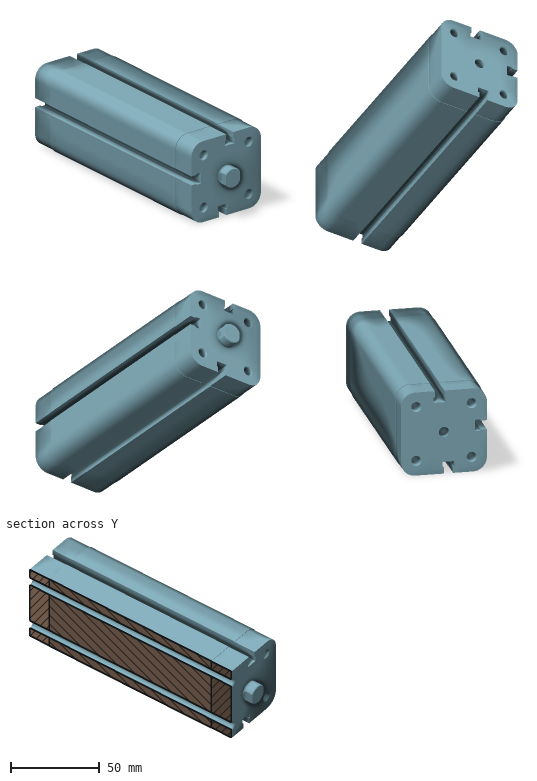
import cadquery as cq

overall_length = 150.5
rear_cap_length = 14.1
front_cap_length = 14.5
rod_projection = 6.3
rear_seam = rear_cap_length
front_face = overall_length - rod_projection
front_seam = front_face - front_cap_length

tube_width = 50.0
cap_width = 49.5
corner_radius = 8.1

slot_offset = 2.5
slot_mouth_width = 5.4
slot_lip_thickness = 3.9
slot_depth = 7.2
tube_channel_width = 6.5
cap_channel_width = 6.8
slot_angles = (0, 90, 180)

fixing_pitch = 32.0
fixing_diameter = 5.0
fixing_mouth_chamfer = 0.53

locating_diameter = 6.0
locating_depth = 4.0

rod_diameter = 12.0
rod_flat_width = 10.1
rod_flat_runout = 1.2
rod_tip_chamfer = 0.5


def section_at(x):
    return cq.Workplane("YZ", origin=(x, 0, 0))


def slots(start, length, channel_width):
    """T-shaped slots in the top, -Y and bottom sides."""
    half_width = tube_width / 2
    floor = half_width - slot_depth
    channel_height = slot_depth - slot_lip_thickness
    mouth = (
        section_at(start)
        .center(slot_offset, floor + slot_depth / 2)
        .rect(slot_mouth_width, slot_depth)
        .extrude(length)
    )
    channel = (
        section_at(start)
        .center(slot_offset, floor + channel_height / 2)
        .rect(channel_width, channel_height)
        .extrude(length)
    )
    slot = mouth.union(channel)
    return [slot.rotate((0, 0, 0), (1, 0, 0), angle) for angle in slot_angles]


def slotted_block(start, length, width, channel_width):
    """Rounded square block with the sensor slots and fixing holes running through it."""
    block = section_at(start).rect(width, width).extrude(length)
    block = block.edges("|X").fillet(corner_radius)
    holes = (
        section_at(start)
        .rect(fixing_pitch, fixing_pitch, forConstruction=True)
        .vertices()
        .circle(fixing_diameter / 2)
        .extrude(length)
    )
    block = block.cut(holes)
    for slot in slots(start, length, channel_width):
        block = block.cut(slot)
    return block


def chamfer_fixing_mouths(cap, face_selector):
    """Chamfer the mouths of the fixing holes in the outer face of a cap."""
    smallest_radius = cq.selectors.RadiusNthSelector(0)
    mouth_edges = cap.faces(face_selector).edges("%CIRCLE").edges(smallest_radius)
    return mouth_edges.chamfer(fixing_mouth_chamfer)


def make_rear_cap():
    cap = slotted_block(0, rear_cap_length, cap_width, cap_channel_width)
    cap = chamfer_fixing_mouths(cap, "<X")
    bore = section_at(0).circle(locating_diameter / 2).extrude(locating_depth)
    return cap.cut(bore)


def make_front_cap():
    cap = slotted_block(front_seam, front_cap_length, cap_width, cap_channel_width)
    return chamfer_fixing_mouths(cap, ">X")


def make_tube():
    return slotted_block(rear_seam, front_seam - rear_seam, tube_width, tube_channel_width)


def make_rod_end():
    rod = section_at(front_face).circle(rod_diameter / 2).extrude(rod_projection)
    rod = rod.faces(">X").edges().chamfer(rod_tip_chamfer)
    radius = rod_diameter / 2
    for side in (1, -1):
        flat_y = side * rod_flat_width / 2
        rim_y = side * radius
        cutter = (
            cq.Workplane("XY")
            .moveTo(front_face, rim_y)
            .lineTo(front_face + rod_flat_runout, flat_y)
            .lineTo(overall_length, flat_y)
            .lineTo(overall_length, rim_y)
            .close()
            .extrude(radius, both=True)
        )
        rod = rod.cut(cutter)
    return rod


rear_cap = make_rear_cap()
tube = make_tube()
front_cap = make_front_cap()
rod_end = make_rod_end()

result = cq.Compound.makeCompound([rear_cap.val(), tube.val(), front_cap.val(), rod_end.val()])